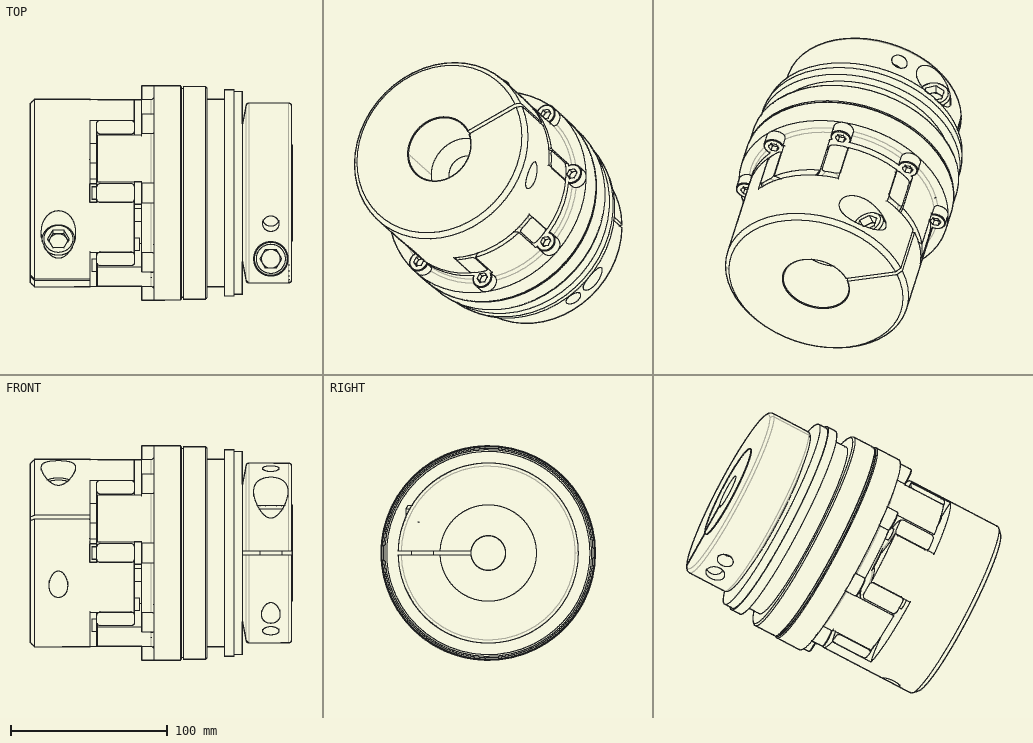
import cadquery as cq
import math


TOTAL_LENGTH = 167.5
HUB_RADIUS = 60.0
THROUGH_BORE_RADIUS = 11.0

LEG_COUNT = 8
LEG_PITCH = 360 / LEG_COUNT
LEG_RADIUS = 59.7
LEG_TIP_HALF_WIDTH = 5.7
LEG_FLANK_RADIUS = 29.0
LEG_BELLY_RADIUS = 44.5
LEG_EDGE_FILLET = 2.3
JAW_CLEARANCE = 1.1
JAW_INNER_RADIUS = 37.0
WEB_RADIUS = 38.0
INSERT_START = 42.5
INSERT_END = 66.8
BUTTON_RADIUS = 4.0
BUTTON_HEIGHT = 3.1
BUTTON_CENTRE_RADIUS = 46.2

FIRST_HUB_FLOOR = 38.2
FIRST_JAW_END = 66.4
FIRST_HUB_CHAMFER = 3.0
FIRST_BORE_RADIUS = 21.5
FIRST_BORE_CHAMFER = 0.5

SECOND_JAW_START = 43.0
SECOND_HUB_FLOOR = 71.0
FLANGE_START = 79.2
FLANGE_RADIUS = 68.5
FLANGE_END = 96.6
FLANGE_ROOT_FILLET = 2.0
RIM_CHAMFER = 0.7
GROOVE_RADIUS = 66.8
COVER_START = 97.8
COVER_END = 113.0
COVER_RADIUS = 68.0
COVER_CHAMFER = 1.1
RING_START = 124.0
RING_STEP = 130.2
RING_END = 135.6
RING_RADIUS = 66.0
RING_STEP_RADIUS = 64.9

CLAMP_RADIUS = 57.5
CLAMP_CONE_ROOT_RADIUS = 44.0
CLAMP_CONE_END = 138.2
CLAMP_FILLET = 2.0
CLAMP_FACE = 167.0
END_BOSS_RADIUS = 30.8
PIN_HOLE_RADIUS = 5.25
PIN_HOLE_DEPTH = 10.0
PIN_HOLE_ANGLES = (110.0, 240.0)

SLIT_WIDTH = 2.5
SCREW_POCKET_RADIUS = 11.0
SCREW_HEAD_RADIUS = 10.5
SCREW_HEAD_HEIGHT = 14.0
SCREW_HEAD_BEVEL_RADIAL = 1.2
SCREW_HEAD_BEVEL_AXIAL = 2.0
SCREW_SHANK_RADIUS = 7.0
SCREW_HEX_FLATS = 12.0
SCREW_HEX_DEPTH = 6.0
TAPPED_HOLE_RADIUS = 6.0
SCREW_TIP_DEPTH = 20.0

FIRST_SLIT_ANGLE = 157.5
FIRST_SCREW_X = 18.1
FIRST_SCREW_OFFSET = 44.0
FIRST_HEAD_TOP = 29.8

SECOND_SLIT_ANGLE = 180.0
SECOND_SCREW_X = 153.7
SECOND_SCREW_OFFSET = 42.0
SECOND_HEAD_TOP = 30.2

BOLT_HEAD_RADIUS = 6.5
BOLT_CIRCLE_RADIUS = FLANGE_RADIUS - BOLT_HEAD_RADIUS
BOLT_HEAD_BEVEL = 0.5
BOLT_HEX_FLATS = 6.0
BOLT_HEX_DEPTH = 4.0

DRILL_TIP_ANGLE = 118.0
DRILL_TIP_SLOPE = 1 / math.tan(math.radians(DRILL_TIP_ANGLE / 2))


def polar(radius, angle):
    """Point in the YZ plane at a radius and an angle in degrees."""
    return (radius * math.cos(math.radians(angle)), radius * math.sin(math.radians(angle)))


def cylinder_x(start, end, radius, centre=(0, 0)):
    """Cylinder parallel to X between two X positions."""
    return cq.Workplane("YZ", origin=(start, 0, 0)).center(*centre).circle(radius).extrude(end - start)


def turned(body, angle):
    """The body turned about X by an angle in degrees."""
    return body.rotate((0, 0, 0), (1, 0, 0), angle)


def revolve_x(outline):
    """Solid of revolution about X from (x, radius) points."""
    return cq.Workplane("XY").polyline(outline).close().revolve(360, (0, 0, 0), (1, 0, 0))


def leg_prism(start, end, clearance=0.0):
    """Lens-shaped prism along +Y: two arcs that bulge at the belly and narrow towards the rim."""
    tip_distance = HUB_RADIUS - LEG_BELLY_RADIUS
    arc_centre = math.sqrt(LEG_FLANK_RADIUS**2 - tip_distance**2) - LEG_TIP_HALF_WIDTH - clearance
    half_length = math.sqrt(LEG_FLANK_RADIUS**2 - arc_centre**2)
    half_width = LEG_FLANK_RADIUS - arc_centre
    return (
        cq.Workplane("YZ", origin=(start, LEG_BELLY_RADIUS, 0))
        .moveTo(-half_length, 0)
        .threePointArc((0, half_width), (half_length, 0))
        .threePointArc((0, -half_width), (-half_length, 0))
        .close()
        .extrude(end - start)
    )


def jaws(start, end, clearance, first_angle):
    """Four jaws, each filling one sector between two legs, hollowed on both sides to clear the legs."""
    ring = cylinder_x(start, end, HUB_RADIUS).cut(cylinder_x(start, end, JAW_INNER_RADIUS))
    teeth = cq.Workplane("YZ")
    for index in range(LEG_COUNT // 2):
        side = first_angle + 2 * index * LEG_PITCH
        corners = [(0, 0), polar(2 * HUB_RADIUS, side), polar(2 * HUB_RADIUS, side + LEG_PITCH)]
        sector = cq.Workplane("YZ", origin=(start, 0, 0)).polyline(corners).close().extrude(end - start)
        tooth = ring.intersect(sector)
        for angle in (side, side + LEG_PITCH):
            tooth = tooth.cut(turned(leg_prism(start, end, clearance), angle))
        teeth = teeth.add(tooth)
    return teeth.combine()


def insert():
    """Eight-legged insert with a central web and buttons alternating between its two faces."""
    body = cylinder_x(INSERT_START, INSERT_END, WEB_RADIUS)
    envelope = cylinder_x(INSERT_START, INSERT_END, LEG_RADIUS)
    leg = leg_prism(INSERT_START, INSERT_END).faces("|X").edges().fillet(LEG_EDGE_FILLET)
    leg = leg.intersect(envelope)
    for index in range(LEG_COUNT):
        angle = index * LEG_PITCH
        body = body.union(turned(leg, angle))
        button_start = INSERT_START - BUTTON_HEIGHT if index % 2 == 0 else INSERT_END
        centre = polar(BUTTON_CENTRE_RADIUS, angle)
        body = body.union(cylinder_x(button_start, button_start + BUTTON_HEIGHT, BUTTON_RADIUS, centre))
    return body


def first_hub():
    """Clamping hub with a chamfered face, a plain bore and four jaws."""
    hub = cylinder_x(0, FIRST_HUB_FLOOR, HUB_RADIUS).faces("<X").chamfer(FIRST_HUB_CHAMFER)
    bore = cylinder_x(0, FIRST_HUB_FLOOR, FIRST_BORE_RADIUS)
    bore_rim = cq.selectors.RadiusNthSelector(0)
    hub = hub.cut(bore).faces("<X").edges(bore_rim).chamfer(FIRST_BORE_CHAMFER)
    return hub.union(jaws(FIRST_HUB_FLOOR, FIRST_JAW_END, 0, 0))


def flanged_hub():
    """Jaws, flange, cover, stepped ring and the solid core of the hub, without the second clamp."""
    root_radius = HUB_RADIUS + FLANGE_ROOT_FILLET
    root_start = FLANGE_START - FLANGE_ROOT_FILLET
    arc_offset = FLANGE_ROOT_FILLET * math.sqrt(0.5)
    body = (
        cq.Workplane("XY")
        .moveTo(SECOND_HUB_FLOOR, 0)
        .lineTo(SECOND_HUB_FLOOR, HUB_RADIUS)
        .lineTo(root_start, HUB_RADIUS)
        .threePointArc((root_start + arc_offset, root_radius - arc_offset), (FLANGE_START, root_radius))
        .lineTo(FLANGE_START, FLANGE_RADIUS)
        .lineTo(FLANGE_END - RIM_CHAMFER, FLANGE_RADIUS)
        .lineTo(FLANGE_END, FLANGE_RADIUS - RIM_CHAMFER)
        .lineTo(FLANGE_END, GROOVE_RADIUS)
        .lineTo(COVER_START, GROOVE_RADIUS)
        .lineTo(COVER_START, COVER_RADIUS)
        .lineTo(COVER_END - COVER_CHAMFER, COVER_RADIUS)
        .lineTo(COVER_END, COVER_RADIUS - COVER_CHAMFER)
        .lineTo(COVER_END, HUB_RADIUS)
        .lineTo(RING_START, HUB_RADIUS)
        .lineTo(RING_START, RING_RADIUS)
        .lineTo(RING_STEP, RING_RADIUS)
        .lineTo(RING_STEP, RING_STEP_RADIUS)
        .lineTo(RING_END, RING_STEP_RADIUS)
        .lineTo(RING_END, 0)
        .close()
        .revolve(360, (0, 0, 0), (1, 0, 0))
    )
    return body.union(jaws(SECOND_JAW_START, SECOND_HUB_FLOOR, JAW_CLEARANCE, LEG_PITCH))


def second_clamp():
    """Clamping hub with a conical back, rounded rims, a low end boss and two radial pin holes."""
    clamp = revolve_x(
        [
            (RING_END, 0),
            (RING_END, CLAMP_CONE_ROOT_RADIUS),
            (CLAMP_CONE_END, CLAMP_RADIUS),
            (CLAMP_FACE, CLAMP_RADIUS),
            (CLAMP_FACE, 0),
        ]
    )
    outer_rims = cq.selectors.RadiusNthSelector(-1)
    clamp = clamp.edges(outer_rims).fillet(CLAMP_FILLET)
    clamp = clamp.union(cylinder_x(CLAMP_FACE, TOTAL_LENGTH, END_BOSS_RADIUS))
    hole_floor = CLAMP_RADIUS - PIN_HOLE_DEPTH
    tip_depth = PIN_HOLE_RADIUS * DRILL_TIP_SLOPE
    hole = (
        cq.Workplane("XY")
        .polyline(
            [
                (SECOND_SCREW_X, hole_floor - tip_depth),
                (SECOND_SCREW_X + PIN_HOLE_RADIUS, hole_floor),
                (SECOND_SCREW_X + PIN_HOLE_RADIUS, HUB_RADIUS),
                (SECOND_SCREW_X, HUB_RADIUS),
            ]
        )
        .close()
        .revolve(360, (SECOND_SCREW_X, 0, 0), (SECOND_SCREW_X, 1, 0))
    )
    for angle in PIN_HOLE_ANGLES:
        clamp = clamp.cut(turned(hole, angle))
    return clamp


def hex_socket(plane, flats, depth):
    """Hexagonal socket, corners along the plane's x direction, with a drilled conical bottom."""
    socket = cq.Workplane(plane).polygon(6, flats / math.cos(math.pi / 6)).extrude(-depth)
    floor = plane.origin - plane.zDir * depth
    cone = cq.Solid.makeCone(flats / 2, 0, flats / 2 * DRILL_TIP_SLOPE, floor, plane.zDir * -1)
    return socket.union(cq.Workplane(cone))


def clamp_screw(body, slit_start, slit_end, slit_angle, screw_x, offset, head_top):
    """Body slit from the axis to the rim at slit_angle, with a socket screw square across the slit."""
    slit = (
        cq.Workplane("XY")
        .box(slit_end - slit_start, 2 * HUB_RADIUS, SLIT_WIDTH, centered=(False, False, True))
        .translate((slit_start, 0, 0))
    )
    axis_y, axis_z = polar(1, slit_angle - 90)
    out_y, out_z = polar(offset, slit_angle)

    def screw_plane(height):
        origin = (screw_x, out_y + height * axis_y, out_z + height * axis_z)
        return cq.Plane(origin=origin, xDir=(1, 0, 0), normal=(0, axis_y, axis_z))

    head_seat = head_top - SCREW_HEAD_HEIGHT
    pocket = cq.Workplane(screw_plane(head_seat)).circle(SCREW_POCKET_RADIUS).extrude(HUB_RADIUS)
    tapped_hole = cq.Workplane(screw_plane(0)).circle(TAPPED_HOLE_RADIUS).extrude(-HUB_RADIUS)
    shank = (
        cq.Workplane(screw_plane(-SCREW_TIP_DEPTH))
        .circle(SCREW_SHANK_RADIUS)
        .extrude(SCREW_TIP_DEPTH + head_seat)
    )
    head = (
        cq.Workplane(screw_plane(head_seat))
        .circle(SCREW_HEAD_RADIUS)
        .extrude(SCREW_HEAD_HEIGHT)
        .faces(cq.selectors.DirectionMinMaxSelector(cq.Vector(0, axis_y, axis_z)))
        .chamfer(SCREW_HEAD_BEVEL_AXIAL, SCREW_HEAD_BEVEL_RADIAL)
    )
    head = head.cut(hex_socket(screw_plane(head_top), SCREW_HEX_FLATS, SCREW_HEX_DEPTH))
    return body.cut(turned(slit, slit_angle)).cut(pocket).cut(tapped_hole).union(shank).union(head)


def add_flange_screws(body):
    """Eight socket head screws on the flange, level with the flange rim."""
    for index in range(LEG_COUNT):
        y, z = polar(BOLT_CIRCLE_RADIUS, index * LEG_PITCH)
        head = cylinder_x(SECOND_HUB_FLOOR, FLANGE_START, BOLT_HEAD_RADIUS, (y, z))
        head = head.faces("<X").chamfer(BOLT_HEAD_BEVEL)
        face = cq.Plane(origin=(SECOND_HUB_FLOOR, y, z), xDir=(0, 1, 0), normal=(-1, 0, 0))
        body = body.union(head).cut(hex_socket(face, BOLT_HEX_FLATS, BOLT_HEX_DEPTH))
    return body


front_hub = clamp_screw(
    first_hub(),
    slit_start=0,
    slit_end=FIRST_HUB_FLOOR,
    slit_angle=FIRST_SLIT_ANGLE,
    screw_x=FIRST_SCREW_X,
    offset=FIRST_SCREW_OFFSET,
    head_top=FIRST_HEAD_TOP,
)
rear_clamp = clamp_screw(
    second_clamp(),
    slit_start=RING_END,
    slit_end=TOTAL_LENGTH,
    slit_angle=SECOND_SLIT_ANGLE,
    screw_x=SECOND_SCREW_X,
    offset=SECOND_SCREW_OFFSET,
    head_top=SECOND_HEAD_TOP,
)
rear_hub = add_flange_screws(flanged_hub()).union(rear_clamp)
coupling = front_hub.union(insert()).union(rear_hub)
result = coupling.cut(cylinder_x(0, TOTAL_LENGTH, THROUGH_BORE_RADIUS))